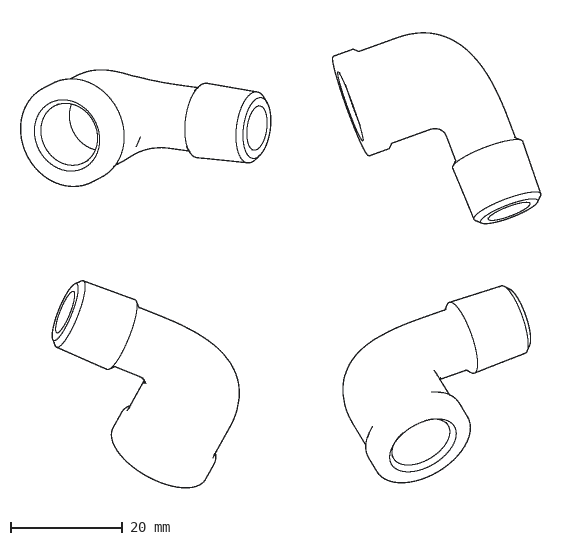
import cadquery as cq
import math


wall_thickness = 1.75

socket_diameter = 17.5
socket_bore_diameter = 11.45
socket_length = 12.05
mouth_diameter = 13.15
collar_diameter = 19.0
collar_length = 3.98
collar_edge_radius = 0.3

overall_length = 37.5
spigot_axis_y = 20.0
spigot_start_x = 10.95
spigot_diameter = 11.5
spigot_root_radius = 0.3
thread_diameter = 13.5
thread_start_x = 16.9
thread_taper = 1 / 16
end_chamfer = 0.95

outer_pull_y = 0.71
outer_pull_x = 0.61
inner_pull = 0.55
bend_steps = 12

bend_bore_diameter = socket_diameter - 2 * wall_thickness
spigot_bore_diameter = spigot_diameter - 2 * wall_thickness
spigot_end_x = overall_length - collar_diameter / 2


def blend(start, start_handle, end_handle, end, t):
    """Cubic Bezier value at parameter t."""
    u = 1 - t
    return u**3 * start + 3 * u**2 * t * start_handle + 3 * u * t**2 * end_handle + t**3 * end


def guide_point(start_x, end_y, pull_x, pull_y, t):
    """Point on a guide curve that leaves the socket along Y and enters the spigot along X."""
    width = spigot_start_x - start_x
    height = end_y - socket_length
    x = blend(start_x, start_x, spigot_start_x - pull_x * width, spigot_start_x, t)
    y = blend(socket_length, socket_length + pull_y * height, end_y, end_y, t)
    return x, y


def bend(start_diameter, end_diameter):
    """Reducing bend lofted through elliptical sections spanning the outer and inner guide curves."""
    start_radius = start_diameter / 2
    end_radius = end_diameter / 2
    sections = []
    for step in range(bend_steps + 1):
        t = step / bend_steps
        outer_x, outer_y = guide_point(
            -start_radius, spigot_axis_y + end_radius, outer_pull_x, outer_pull_y, t
        )
        inner_x, inner_y = guide_point(
            start_radius, spigot_axis_y - end_radius, inner_pull, inner_pull, t
        )
        across_x = outer_x - inner_x
        across_y = outer_y - inner_y
        plane = cq.Plane(
            origin=((outer_x + inner_x) / 2, (outer_y + inner_y) / 2, 0),
            xDir=(across_x, across_y, 0),
            normal=(across_y, -across_x, 0),
        )
        half_width = math.hypot(across_x, across_y) / 2
        half_height = blend(start_radius, start_radius, end_radius, end_radius, t)
        if step in (0, bend_steps):
            section = cq.Workplane(plane).circle(half_height)
        else:
            section = cq.Workplane(plane).ellipse(half_width, half_height)
        sections.append(section.wires().val())
    return cq.Workplane(cq.Solid.makeLoft(sections))


def socket_leg():
    """Socket tube with a collar at the mouth; the collar corners are rounded."""
    collar_step = (collar_diameter - socket_diameter) / 2
    profile = [
        (0, 0),
        (collar_diameter / 2, 0),
        (collar_diameter / 2, collar_length),
        (socket_diameter / 2, collar_length + collar_step),
        (socket_diameter / 2, socket_length),
        (0, socket_length),
    ]
    leg = cq.Workplane("XY").polyline(profile).close().revolve(360, (0, 0), (0, 1))
    return leg.edges("%CIRCLE").edges("not >Y").fillet(collar_edge_radius)


def spigot_leg():
    """Spigot tube with a tapered thread envelope, a 45 degree shoulder and a chamfered end."""
    shoulder = (thread_diameter - spigot_diameter) / 2
    thread_end_x = spigot_end_x - end_chamfer
    thread_end_radius = (thread_diameter - thread_taper * (thread_end_x - thread_start_x)) / 2
    profile = [
        (spigot_start_x, 0),
        (spigot_start_x, spigot_diameter / 2),
        (thread_start_x - shoulder, spigot_diameter / 2),
        (thread_start_x, thread_diameter / 2),
        (thread_end_x, thread_end_radius),
        (spigot_end_x, thread_end_radius - end_chamfer),
        (spigot_end_x, 0),
    ]
    leg = cq.Workplane("XY").polyline(profile).close().revolve(360, (0, 0), (1, 0))
    shoulder_root = cq.selectors.NearestToPointSelector((thread_start_x - shoulder, 0, 0))
    leg = leg.edges("%CIRCLE").edges(shoulder_root).fillet(spigot_root_radius)
    return leg.translate((0, spigot_axis_y, 0))


def socket_bore():
    """Socket bore with a 45 degree countersunk mouth, ending at the wider bore of the bend."""
    mouth_depth = (mouth_diameter - socket_bore_diameter) / 2
    profile = [
        (0, 0),
        (mouth_diameter / 2, 0),
        (socket_bore_diameter / 2, mouth_depth),
        (socket_bore_diameter / 2, socket_length),
        (0, socket_length),
    ]
    return cq.Workplane("XY").polyline(profile).close().revolve(360, (0, 0), (0, 1))


def spigot_bore():
    """Straight bore through the spigot leg."""
    start = cq.Workplane("YZ", origin=(spigot_start_x, spigot_axis_y, 0))
    return start.circle(spigot_bore_diameter / 2).extrude(spigot_end_x - spigot_start_x)


body = socket_leg().union(bend(socket_diameter, spigot_diameter)).union(spigot_leg())
passage = socket_bore().union(bend(bend_bore_diameter, spigot_bore_diameter)).union(spigot_bore())
result = body.cut(passage)